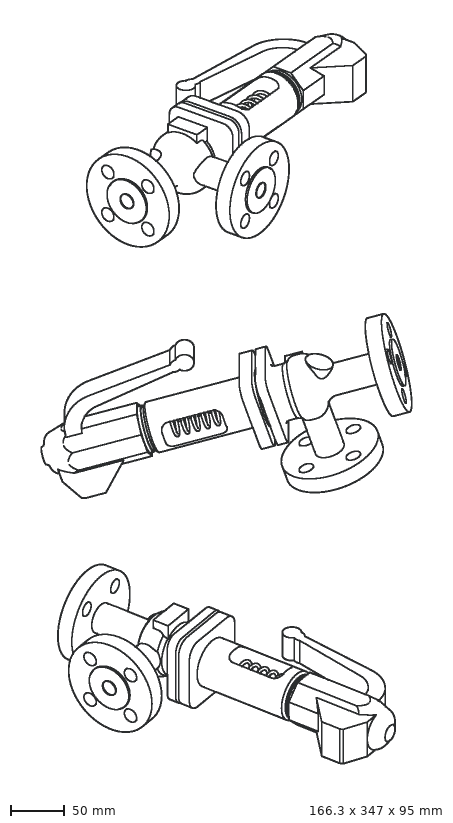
import cadquery as cq
import math


leg_length = 90.0
flange_diameter = 95.0
flange_thickness = 16.0
raised_face_diameter = 45.0
raised_face_height = 2.0
bolt_circle = 65.0
bolt_hole_diameter = 14.0
bolt_count = 4
port_diameter = 15.0
port_depth = 1.0
inlet_pipe_radius = 15.0
outlet_pipe_radius = 14.2

bulb_radius = 31.2
bulb_top = 4.6
bulb_widest_y = -0.8
bulb_shoulder_y = 10.7
bulb_shoulder_radius = 28.0
bulb_lower_arc = 15.0
bulb_bottom_y = -13.8
inlet_blend_y = -24.5
inlet_blend_arc = 12.0
body_neck_radius = 26.4
body_neck_bottom = 15.5
body_neck_top = 24.0

lower_square_y = 29.0
lower_square_thickness = 9.7
lower_square_width = 73.0
lower_square_corner = 11.0
upper_square_y = 42.3
upper_square_thickness = 12.2
upper_square_width = 74.0
upper_square_corner = 13.5
neck_flare = 4.0
seat_radius = 31.0
seat_height = 1.3
gasket_radius = 28.0

boss_radius = 13.3
boss_angle = 30.0
boss_face_x = -22.8
boss_face_y = -19.5
boss_length = 25.0

pad_width = 33.5
pad_bottom = bulb_widest_y
pad_top = 16.0
pad_height = 35.5

bonnet_radius = 24.5
bonnet_top = 153.0
bonnet_chamfer = 2.5
window_width = 27.0
window_bottom = 80.0
window_top = 139.5
window_corner = 7.5

coil_count = 5
coil_first_y = 89.8
coil_pitch = 10.0
coil_wire_radius = 1.5
coil_radius = 13.0

cap_sides = 8
cap_flats = 48.6
cap_bottom = 158.7
cap_neck_radius = 22.6
cap_groove_radius = 21.0
cap_groove_top = 155.5
cap_cone_bottom_y = 226.0
cap_cone_top_y = 245.3
cap_cone_top_radius = 20.5
dome_top_y = 252.9
dome_top_radius = 13.0
dome_arc = 10.0
knob_top_y = 257.0
knob_top_radius = 8.4
knob_blend_arc = 6.0

housing_width = 39.2
housing_reach = 44.4
housing_shoulder = (43.0, 233.7)
housing_nose_top = 230.5
housing_nose_bottom = 210.1
housing_root = (15.0, 183.6)

lever_width = 26.0
grip_radius = 9.0
grip_centre = (-67.27, 98.4)
grip_blend_arc = 9.0
grip_blend_outer = (-72.7, 105.6)
grip_blend_inner = (-61.2, 105.1)
arm_outer_bottom = (-69.1, 112.0)
arm_inner_bottom = (-60.4, 112.0)
arm_outer_top = (-59.3, 193.0)
arm_inner_top = (-45.2, 193.5)
bend_outer_middle = (-47.5, 217.8)
bend_inner_middle = (-36.5, 206.5)
bend_end_x = -20.9
bend_end_outer_y = 228.6
bend_end_inner_y = 213.0


def revolve_about_y(profile):
    return profile.close().revolve(360, (0, 0, 0), (0, 1, 0))


def disc(radius, y_start, height):
    return cq.Workplane("XZ").workplane(offset=-y_start).circle(radius).extrude(-height)


def square_plate(width, corner, y_start, thickness):
    plate = cq.Workplane("XY").box(width, thickness, width).edges("|Y").fillet(corner)
    return plate.translate((0, y_start + thickness / 2, 0))


def make_leg(pipe_radius):
    """Pipe along -Y from the origin, ending in a drilled flange with a raised face."""
    flange_y = raised_face_height - leg_length
    leg = disc(pipe_radius, flange_y, -flange_y)
    leg = leg.union(disc(flange_diameter / 2, flange_y, flange_thickness))
    leg = leg.union(disc(raised_face_diameter / 2, -leg_length, raised_face_height))
    leg = leg.cut(disc(port_diameter / 2, -leg_length, port_depth))
    for i in range(bolt_count):
        angle = math.radians((i + 0.5) * 360 / bolt_count)
        hole = disc(bolt_hole_diameter / 2, flange_y, flange_thickness)
        x = bolt_circle / 2 * math.cos(angle)
        z = bolt_circle / 2 * math.sin(angle)
        leg = leg.cut(hole.translate((x, 0, z)))
    return leg


def make_body():
    arc_centre = bulb_radius - bulb_lower_arc
    arc_drop = bulb_widest_y - bulb_bottom_y
    bulb_bottom_radius = arc_centre + math.sqrt(bulb_lower_arc**2 - arc_drop**2)
    diagonal = bulb_lower_arc * math.sqrt(0.5)
    profile = (
        cq.Workplane("XY")
        .moveTo(0, inlet_blend_y)
        .lineTo(inlet_pipe_radius, inlet_blend_y)
        .radiusArc((bulb_bottom_radius, bulb_bottom_y), inlet_blend_arc)
        .threePointArc((arc_centre + diagonal, bulb_widest_y - diagonal), (bulb_radius, bulb_widest_y))
        .lineTo(bulb_radius, bulb_top)
        .tangentArcPoint((bulb_shoulder_radius, bulb_shoulder_y), relative=False)
        .lineTo(body_neck_radius, body_neck_bottom)
        .lineTo(body_neck_radius, body_neck_top)
        .tangentArcPoint((body_neck_radius + neck_flare, lower_square_y), relative=False)
        .lineTo(0, lower_square_y)
    )
    return revolve_about_y(profile)


def make_boss():
    axis = cq.Vector(math.cos(math.radians(boss_angle)), math.sin(math.radians(boss_angle)), 0)
    face_centre = cq.Vector(boss_face_x, boss_face_y, 0)
    return cq.Workplane(cq.Solid.makeCylinder(boss_radius, boss_length, face_centre, axis))


def make_pad():
    pad = cq.Workplane("XY").rect(pad_width, pad_top - pad_bottom).extrude(pad_height)
    return pad.translate((0, (pad_top + pad_bottom) / 2, 0))


def make_square_flanges():
    lower_top = lower_square_y + lower_square_thickness
    lower = square_plate(lower_square_width, lower_square_corner, lower_square_y, lower_square_thickness)
    upper = square_plate(upper_square_width, upper_square_corner, upper_square_y, upper_square_thickness)
    seat = disc(seat_radius, lower_top, seat_height)
    gasket = disc(gasket_radius, lower_top, upper_square_y - lower_top)
    return lower.union(seat).union(gasket).union(upper)


def make_bonnet():
    bonnet_bottom = upper_square_y + upper_square_thickness
    bonnet = disc(bonnet_radius, bonnet_bottom, bonnet_top - bonnet_bottom)
    bonnet = bonnet.faces(">Y").chamfer(bonnet_chamfer)
    window = cq.Workplane("XY").box(window_width, window_top - window_bottom, 2 * bonnet_radius)
    window = window.edges("|Z").fillet(window_corner)
    bonnet = bonnet.cut(window.translate((0, (window_top + window_bottom) / 2, 0)))
    for i in range(coil_count):
        centre = cq.Vector(0, coil_first_y + i * coil_pitch, 0)
        coil = cq.Solid.makeTorus(coil_radius, coil_wire_radius, centre, cq.Vector(0, 1, 0))
        bonnet = bonnet.union(cq.Workplane(coil))
    return bonnet


def make_cap():
    half_side_angle = 180 / cap_sides
    corner_radius = cap_flats / 2 / math.cos(math.radians(half_side_angle))
    octagon = cq.Workplane("XZ").workplane(offset=-cap_bottom).polygon(cap_sides, 2 * corner_radius)
    octagon = octagon.extrude(cap_bottom - knob_top_y)
    octagon = octagon.rotate((0, 0, 0), (0, 1, 0), half_side_angle)
    envelope = (
        cq.Workplane("XY")
        .moveTo(0, cap_bottom)
        .lineTo(corner_radius, cap_bottom)
        .lineTo(corner_radius, cap_cone_bottom_y)
        .lineTo(cap_cone_top_radius, cap_cone_top_y)
        .radiusArc((dome_top_radius, dome_top_y), -dome_arc)
        .radiusArc((knob_top_radius, knob_top_y), knob_blend_arc)
        .lineTo(0, knob_top_y)
    )
    cap = octagon.intersect(revolve_about_y(envelope))
    cap = cap.union(disc(cap_neck_radius, cap_groove_top, cap_bottom - cap_groove_top))
    return cap.union(disc(cap_groove_radius, bonnet_top, cap_groove_top - bonnet_top))


def make_housing():
    outline = (
        cq.Workplane("XY")
        .moveTo(0, cap_cone_top_y)
        .lineTo(cap_cone_top_radius, cap_cone_top_y)
        .lineTo(*housing_shoulder)
        .lineTo(housing_reach, housing_nose_top)
        .lineTo(housing_reach, housing_nose_bottom)
        .lineTo(*housing_root)
        .lineTo(0, housing_root[1])
        .close()
    )
    return outline.extrude(housing_width / 2, both=True)


def make_lever():
    arm = (
        cq.Workplane("XY")
        .moveTo(*arm_outer_bottom)
        .lineTo(*arm_outer_top)
        .threePointArc(bend_outer_middle, (bend_end_x, bend_end_outer_y))
        .lineTo(0, bend_end_outer_y)
        .lineTo(0, bend_end_inner_y)
        .lineTo(bend_end_x, bend_end_inner_y)
        .threePointArc(bend_inner_middle, arm_inner_top)
        .lineTo(*arm_inner_bottom)
        .radiusArc(grip_blend_inner, grip_blend_arc)
        .lineTo(*grip_centre)
        .lineTo(*grip_blend_outer)
        .radiusArc(arm_outer_bottom, grip_blend_arc)
        .close()
    )
    grip = cq.Workplane("XY").center(*grip_centre).circle(grip_radius)
    half_width = lever_width / 2
    return arm.extrude(half_width, both=True).union(grip.extrude(half_width, both=True))


inlet = make_leg(inlet_pipe_radius)
outlet = make_leg(outlet_pipe_radius).rotate((0, 0, 0), (0, 0, 1), 90)

result = make_body()
for piece in (
    inlet,
    outlet,
    make_boss(),
    make_pad(),
    make_square_flanges(),
    make_bonnet(),
    make_cap(),
    make_housing(),
    make_lever(),
):
    result = result.union(piece)